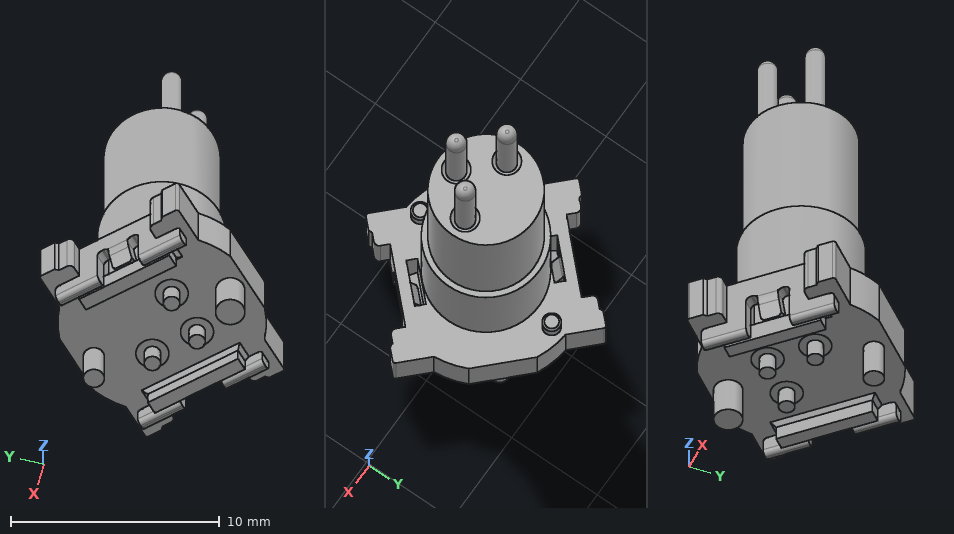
import cadquery as cq
import math

TURN = 225.0

TOWER_R = 3.1
TOWER_STEP_Z = 5.5
TOWER_TOP_R = 2.8
TOWER_TOP_Z = 12.83

FLANGE_T = 2.49
FLANGE_R = 5.0
FLAT_X = 4.7
TAB_X = 3.83
TAB_Y = 5.2
TAB_CORNER_R = 0.13
TAB_STEP_X = 2.97
TAB_STEP = 0.15
TAB_INNER_X = 2.11
TAB_INNER_R = 0.26

BOSS_X = 3.3
BOSS_Y = 2.62
BOSS_R = 0.46
BOSS_H = 0.75
BOSS_CHAMFER = 0.1
POST_X = 3.76
LARGE_POST_R = 0.7
SMALL_POST_R = 0.5
POST_BOTTOM_Z = -4.49

CLIP_OUTER_Y = 4.3
CLIP_T = 0.62
CLIP_INNER_Y = CLIP_OUTER_Y - CLIP_T
FOOT_X = 3.43
FOOT_BOTTOM_Z = -3.48
FOOT_END_R = 0.25
FOOT_EDGE_R = 0.26

RIB_X = 2.49
RIB_INNER_Y = 3.0
RIB_ROOT = 0.22

TONGUE_X = 0.53
TONGUE_ROOT_Z = -1.28
TONGUE_TIP_Z = -2.5
TONGUE_LEAN = math.radians(27.0)
TONGUE_BEND_R = 1.08
TONGUE_TIP_CHAMFER = 0.13
SLOT_X = 1.12
SLOT_TOP_Z = -1.19
SLOT_TOP_R = 0.26
POCKET_X = 1.17
POCKET_INNER_Y = 3.12

PIN_OFFSET = 1.23
PIN_R = 0.5
PIN_TOP_Z = 17.51
PIN_TIP_R = 0.42
COUNTERSINK_R = 0.7
COLLAR_R = 0.8
COLLAR_TOP_Z = -1.12
TAIL_R = 0.4
TAIL_BOTTOM_Z = -3.4

PIN_PLACES = [(PIN_OFFSET, -PIN_OFFSET), (PIN_OFFSET, PIN_OFFSET), (-PIN_OFFSET, PIN_OFFSET)]


def block(x0, x1, y0, y1, z0, z1):
    """A box given by its two limits along each axis."""
    return cq.Workplane("XY").box(x1 - x0, y1 - y0, z1 - z0, centered=False).translate((x0, y0, z0))


def cylinder(x, y, radius, z0, z1):
    """An upright cylinder between two heights."""
    return cq.Workplane("XY", origin=(x, y, z0)).circle(radius).extrude(z1 - z0)


def across_clip(outline_yz, half_width):
    """Extrude a closed outline in the YZ plane to both sides of X = 0."""
    return outline_yz.close().extrude(half_width, both=True)


def both_clip_sides(shape):
    """The shape on the +Y side and its half-turn copy on the -Y side."""
    return [shape, shape.rotate((0, 0, 0), (0, 0, 1), 180)]


def tab(side):
    """One tab at the +Y edge, on the +X (side = 1) or -X (side = -1) half."""
    step_y = TAB_Y - TAB_STEP
    outline = (
        cq.Workplane("XY", origin=(0, 0, -FLANGE_T))
        .moveTo(side * TAB_INNER_X, 0)
        .lineTo(side * TAB_X, 0)
        .lineTo(side * TAB_X, TAB_Y)
        .lineTo(side * TAB_STEP_X, TAB_Y)
        .lineTo(side * (TAB_STEP_X - TAB_STEP), step_y)
        .lineTo(side * TAB_INNER_X, step_y)
        .close()
        .extrude(FLANGE_T)
    )
    outer_corner = cq.NearestToPointSelector((side * TAB_X, TAB_Y, -FLANGE_T / 2))
    inner_corner = cq.NearestToPointSelector((side * TAB_INNER_X, step_y, -FLANGE_T / 2))
    return outline.edges(outer_corner).fillet(TAB_CORNER_R).edges(inner_corner).fillet(TAB_INNER_R)


def flange():
    disc = cylinder(0, 0, FLANGE_R, -FLANGE_T, 0)
    plate = disc.intersect(block(-FLAT_X, FLAT_X, -CLIP_OUTER_Y, CLIP_OUTER_Y, -FLANGE_T, 0))
    for side in (1, -1):
        for part in both_clip_sides(tab(side)):
            plate = plate.union(part)
    return plate


def tower():
    lower = cylinder(0, 0, TOWER_R, 0, TOWER_STEP_Z)
    return lower.union(cylinder(0, 0, TOWER_TOP_R, TOWER_STEP_Z, TOWER_TOP_Z))


def foot():
    """The clip's foot, with rounded upper ends and a rounded lower edge on each side."""
    end_z = -FLANGE_T - FOOT_END_R
    profile = (
        cq.Workplane("XZ", origin=(0, CLIP_OUTER_Y, 0))
        .moveTo(FOOT_X - FOOT_END_R, -FLANGE_T)
        .radiusArc((FOOT_X, end_z), FOOT_END_R)
        .lineTo(FOOT_X, FOOT_BOTTOM_Z)
        .lineTo(-FOOT_X, FOOT_BOTTOM_Z)
        .lineTo(-FOOT_X, end_z)
        .radiusArc((-FOOT_X + FOOT_END_R, -FLANGE_T), FOOT_END_R)
        .close()
        .extrude(CLIP_T)
    )
    return profile.faces("<Z").edges("|X").fillet(FOOT_EDGE_R)


def rib():
    """The rib behind the clip, spreading at its root under the flange."""
    body = block(-RIB_X, RIB_X, RIB_INNER_Y, CLIP_INNER_Y, FOOT_BOTTOM_Z, -FLANGE_T)
    width = CLIP_INNER_Y - RIB_INNER_Y
    root_width = width + RIB_ROOT
    root = (
        cq.Workplane("XY", origin=(0, CLIP_INNER_Y, -FLANGE_T))
        .center(0, -root_width / 2)
        .rect(2 * (RIB_X + RIB_ROOT), root_width)
        .workplane(offset=-RIB_ROOT)
        .center(0, RIB_ROOT / 2)
        .rect(2 * RIB_X, width)
        .loft(ruled=True)
    )
    return body.union(root)


def tongue_path(bend_radius, length, bend_y):
    """Bend end and tip of a tongue face with the given bend radius, as (y, z) points."""
    bend_end = (
        bend_y + bend_radius * math.cos(TONGUE_LEAN),
        TONGUE_ROOT_Z - bend_radius * math.sin(TONGUE_LEAN),
    )
    tip = (
        bend_end[0] - length * math.sin(TONGUE_LEAN),
        bend_end[1] - length * math.cos(TONGUE_LEAN),
    )
    return bend_end, tip


def tongue():
    """A strip of the clip wall, bent inwards below its root."""
    bend_y = CLIP_OUTER_Y - TONGUE_BEND_R
    inner_bend_r = TONGUE_BEND_R - CLIP_T
    bend_drop = TONGUE_BEND_R * math.sin(TONGUE_LEAN)
    length = (TONGUE_ROOT_Z - bend_drop - TONGUE_TIP_Z) / math.cos(TONGUE_LEAN)
    outer_bend, outer_tip = tongue_path(TONGUE_BEND_R, length, bend_y)
    inner_bend, inner_tip = tongue_path(inner_bend_r, length, bend_y)
    outline = (
        cq.Workplane("YZ")
        .moveTo(CLIP_OUTER_Y, TONGUE_ROOT_Z)
        .radiusArc(outer_bend, TONGUE_BEND_R)
        .lineTo(*outer_tip)
        .lineTo(*inner_tip)
        .lineTo(*inner_bend)
        .radiusArc((CLIP_INNER_Y, TONGUE_ROOT_Z), -inner_bend_r)
    )
    strip = across_clip(outline, TONGUE_X)
    tip_y = (outer_tip[0] + inner_tip[0]) / 2
    tip_z = (outer_tip[1] + inner_tip[1]) / 2
    for x in (TONGUE_X, -TONGUE_X):
        corner = cq.NearestToPointSelector((x, tip_y, tip_z))
        strip = strip.edges(corner).chamfer(TONGUE_TIP_CHAMFER)
    return strip


def clip_window():
    """The opening around the tongue: two round-topped slots and the gap below its root."""
    window = block(-TONGUE_X, TONGUE_X, CLIP_INNER_Y, CLIP_OUTER_Y, FOOT_BOTTOM_Z, TONGUE_ROOT_Z)
    for x0, x1 in ((TONGUE_X, SLOT_X), (-SLOT_X, -TONGUE_X)):
        slot = block(x0, x1, CLIP_INNER_Y, CLIP_OUTER_Y, FOOT_BOTTOM_Z, SLOT_TOP_Z)
        window = window.union(slot.faces(">Z").edges("|Y").fillet(SLOT_TOP_R))
    return window


def tongue_pocket():
    """The pocket behind the tongue, open at the top, with a floor parallel to the tongue tip."""
    floor_rise = (CLIP_INNER_Y - POCKET_INNER_Y) * math.tan(TONGUE_LEAN)
    outline = (
        cq.Workplane("YZ")
        .moveTo(CLIP_INNER_Y, 0)
        .lineTo(CLIP_INNER_Y, -FLANGE_T)
        .lineTo(POCKET_INNER_Y, -FLANGE_T + floor_rise)
        .lineTo(POCKET_INNER_Y, 0)
    )
    return across_clip(outline, POCKET_X)


def bosses():
    upright = cylinder(BOSS_X, BOSS_Y, BOSS_R, 0, BOSS_H).faces(">Z").chamfer(BOSS_CHAMFER)
    return both_clip_sides(upright)


def posts():
    return [
        cylinder(POST_X, 0, LARGE_POST_R, POST_BOTTOM_Z, -FLANGE_T),
        cylinder(-POST_X, 0, SMALL_POST_R, POST_BOTTOM_Z, -FLANGE_T),
    ]


def pin_hole(x, y):
    """A through hole with a countersink at the tower top and a collar seat at the bottom."""
    countersink_depth = COUNTERSINK_R - PIN_R
    outline = (
        cq.Workplane("XZ", origin=(x, y, 0))
        .moveTo(0, TOWER_TOP_Z)
        .lineTo(COUNTERSINK_R, TOWER_TOP_Z)
        .lineTo(PIN_R, TOWER_TOP_Z - countersink_depth)
        .lineTo(PIN_R, COLLAR_TOP_Z)
        .lineTo(COLLAR_R, COLLAR_TOP_Z)
        .lineTo(COLLAR_R, -FLANGE_T)
        .lineTo(0, -FLANGE_T)
        .close()
    )
    return outline.revolve(360, (0, 0, 0), (0, 1, 0))


def make_housing():
    body = flange().union(tower())
    for feature in (foot(), rib()):
        for part in both_clip_sides(feature):
            body = body.union(part)
    for opening in (clip_window(), tongue_pocket()):
        for part in both_clip_sides(opening):
            body = body.cut(part)
    for part in both_clip_sides(tongue()) + bosses() + posts():
        body = body.union(part)
    for x, y in PIN_PLACES:
        body = body.cut(pin_hole(x, y))
    return body


def make_pin(x, y):
    """A round-tipped contact with a collar in the flange and a thinner tail below it."""
    shaft = cylinder(x, y, PIN_R, COLLAR_TOP_Z, PIN_TOP_Z).faces(">Z").edges().fillet(PIN_TIP_R)
    collar = cylinder(x, y, COLLAR_R, -FLANGE_T, COLLAR_TOP_Z)
    tail = cylinder(x, y, TAIL_R, TAIL_BOTTOM_Z, -FLANGE_T)
    return shaft.union(collar).union(tail)


def turned(body):
    return body.rotate((0, 0, 0), (0, 0, 1), TURN).val()


housing = turned(make_housing())
pins = [turned(make_pin(x, y)) for x, y in PIN_PLACES]

result = cq.Compound.makeCompound([housing, *pins])